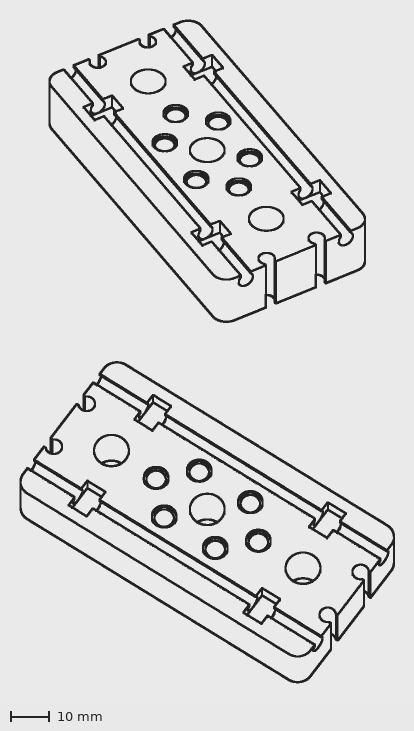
import cadquery as cq

LENGTH = 90.0
WIDTH = LENGTH / 2
HEIGHT = 15.0
CORNER_RADIUS = 4.05

BORE_DIAMETER = 4.2
MOUTH_WIDTH = 3.0
BORE_RADIUS = BORE_DIAMETER / 2
GROOVE_OFFSET = WIDTH / 3
NOTCH_OFFSET = WIDTH / 6

POCKET_LENGTH = 5.7
POCKET_WIDTH = 8.55
POCKET_DEPTH = BORE_DIAMETER
POCKET_OFFSET = 27.4

LARGE_HOLE_DIAMETER = 9.0
LARGE_HOLE_PITCH = LENGTH / 3

SMALL_HOLE_DIAMETER = 5.0
COUNTERBORE_DIAMETER = 6.4
COUNTERBORE_DEPTH = 0.9
RING_PITCH = 8.0

SIDES = (-1, 1)


def keyhole(plane, length):
    """Round bore just touching the plane's X axis from below, opened by a narrower mouth."""
    bore = cq.Workplane(plane).center(0, -BORE_RADIUS).circle(BORE_RADIUS).extrude(length)
    mouth = cq.Workplane(plane).center(0, -BORE_RADIUS / 2).rect(MOUTH_WIDTH, BORE_RADIUS).extrude(length)
    return bore.union(mouth)


def groove(y):
    """Keyhole groove along the whole top face at the given Y."""
    plane = cq.Plane(origin=(-LENGTH / 2, y, HEIGHT), xDir=(0, 1, 0), normal=(1, 0, 0))
    return keyhole(plane, LENGTH)


def notch(side, y):
    """Full-height keyhole notch in the end face on the given X side."""
    plane = cq.Plane(origin=(side * LENGTH / 2, y, 0), xDir=(0, -side, 0), normal=(0, 0, 1))
    return keyhole(plane, HEIGHT)


plate = cq.Workplane("XY").box(LENGTH, WIDTH, HEIGHT, centered=(True, True, False))
plate = plate.edges("|Z").fillet(CORNER_RADIUS)

for y_side in SIDES:
    plate = plate.cut(groove(y_side * GROOVE_OFFSET))
    for x_side in SIDES:
        plate = plate.cut(notch(x_side, y_side * NOTCH_OFFSET))

pocket_centers = [(x * POCKET_OFFSET, y * GROOVE_OFFSET) for x in SIDES for y in SIDES]
pockets = (
    cq.Workplane("XY", origin=(0, 0, HEIGHT))
    .pushPoints(pocket_centers)
    .rect(POCKET_LENGTH, POCKET_WIDTH)
    .extrude(-POCKET_DEPTH)
)
plate = plate.cut(pockets)

top = cq.Workplane("XY", origin=(0, 0, HEIGHT))
large_holes = top.rarray(LARGE_HOLE_PITCH, 0.9, 3, 1).circle(LARGE_HOLE_DIAMETER / 2).extrude(-HEIGHT)
plate = plate.cut(large_holes)

ring_centers = [(x * RING_PITCH, y * RING_PITCH) for x in SIDES for y in SIDES]
ring_centers += [(x * 2 * RING_PITCH, 0) for x in SIDES]
ring = top.pushPoints(ring_centers)
small_holes = ring.circle(SMALL_HOLE_DIAMETER / 2).extrude(-HEIGHT)
counterbores = ring.circle(COUNTERBORE_DIAMETER / 2).extrude(-COUNTERBORE_DEPTH)
plate = plate.cut(small_holes).cut(counterbores)

result = plate